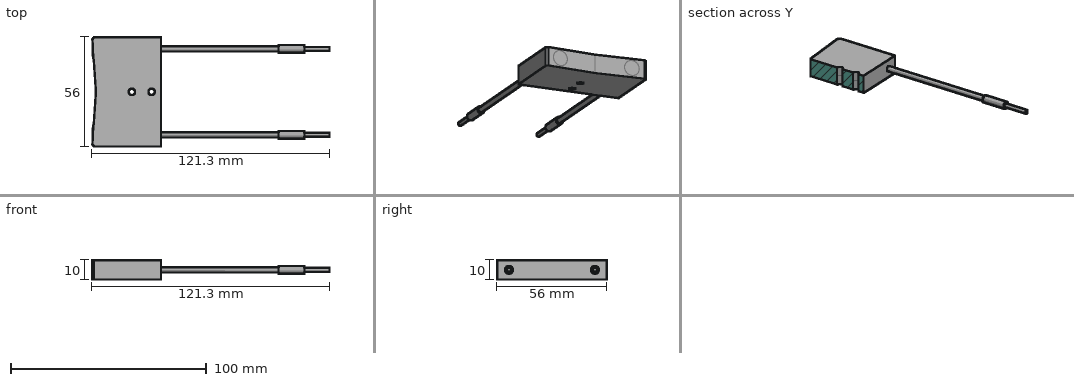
import cadquery as cq

total_length = 121.3
block_width = 56.0
block_height = 10.0
block_length = 35.2

v_depth = 1.8
bevel_length = 1.0
bevel_width = 1.2

dome_diameter = 8.0
dome_height = 0.4
dome_offset = 20.0

hole_diameter = 3.2
hole_positions = (20.3, 30.3)

wire_offset = 22.0
wire_diameter = 2.9
sleeve_diameter = 4.0
tip_diameter = 2.2
sleeve_start = 95.2
tip_start = 108.3

half_width = block_width / 2
v_half_width = half_width - bevel_width


def make_block():
    outline = [
        (v_depth, 0),
        (0, v_half_width),
        (bevel_length, half_width),
        (block_length, half_width),
        (block_length, -half_width),
        (bevel_length, -half_width),
        (0, -v_half_width),
    ]
    block = cq.Workplane("XY").polyline(outline).close().extrude(block_height / 2, both=True)
    holes = (
        cq.Workplane("XY")
        .pushPoints([(x, 0) for x in hole_positions])
        .circle(hole_diameter / 2)
        .extrude(block_height, both=True)
    )
    return block.cut(holes)


def make_dome(side):
    """Spherical cap standing square to the sloping front face on one side."""
    radius = dome_diameter / 2
    face_x = v_depth * (1 - dome_offset / v_half_width)
    sphere_radius = (radius**2 + dome_height**2) / (2 * dome_height)
    face = cq.Plane(
        origin=(face_x, side * dome_offset, 0),
        xDir=(0, 0, 1),
        normal=(-v_half_width, -side * v_depth, 0),
    )
    plug = cq.Workplane(face).circle(radius).extrude(dome_height, both=True)
    sphere_center = cq.Workplane(face).workplane(offset=dome_height - sphere_radius)
    sphere = sphere_center.sphere(sphere_radius)
    return plug.intersect(sphere)


def make_rod(side, diameter, start, end):
    return (
        cq.Workplane("YZ", origin=(start, side * wire_offset, 0))
        .circle(diameter / 2)
        .extrude(end - start)
    )


result = make_block()
for side in (1, -1):
    result = result.union(make_dome(side))
    result = result.union(make_rod(side, wire_diameter, block_length, sleeve_start))
    result = result.union(make_rod(side, sleeve_diameter, sleeve_start, tip_start))
    result = result.union(make_rod(side, tip_diameter, tip_start, total_length))